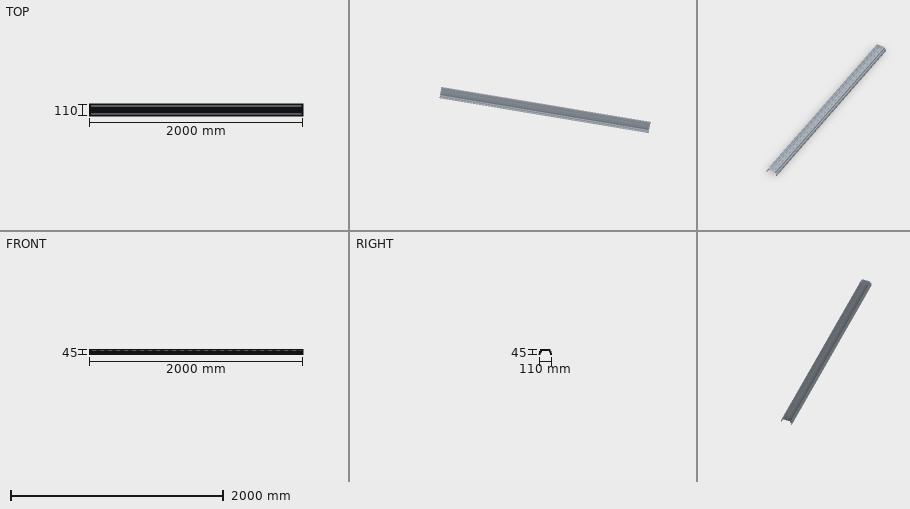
import cadquery as cq
import math

LENGTH = 2000.0
WIDTH = 110.0
HEIGHT = 45.0
SHEET = 1.5

CROWN_HALF_WIDTH = 40.8
UPPER_WALL_TILT = math.radians(3.5)
LOWER_WALL_TILT = math.radians(6.2)
SHOULDER_DROP = 18.2
BEND_RADIUS = 1.8

RECESS_DEPTH = 2.5
CENTRE_RECESS_WIDTH = 14.8
SIDE_RECESS_WIDTH = 5.2
SIDE_RECESS_CENTRE = 22.8

FOOT_HEIGHT = 15.5
FOOT_THICKNESS = 5.0
FOOT_CHAMFER = 2.0
GROOVE_TOP = 13.5
GROOVE_FLOOR_TOP = 12.2
GROOVE_FLOOR_BOTTOM = 8.0
GROOVE_BOTTOM = 7.0
GROOVE_DEPTH = 2.0

TOP = HEIGHT / 2
BOTTOM = -HEIGHT / 2
SHOULDER = TOP - SHOULDER_DROP
PICK = 0.2


def extrude_along_x(outline):
    """Extrude a closed list of (y, z) points over the full length, centred on X."""
    return cq.Workplane("YZ").polyline(outline).close().extrude(LENGTH / 2, both=True)


def upper_wall_y(z):
    return CROWN_HALF_WIDTH + (TOP - z) * math.tan(UPPER_WALL_TILT)


def lower_wall_y(z):
    return WIDTH / 2 - (z - BOTTOM) * math.tan(LOWER_WALL_TILT)


def mirrored(half):
    """Close a right-hand outline with its mirror image about the Y = 0 plane."""
    return half + [(-y, z) for y, z in reversed(half)]


def round_bends(bar, y, z, radius):
    """Round the lengthwise edges at (+y, z) and (-y, z)."""
    for edge_y in (-y, y):
        low = (-LENGTH, edge_y - PICK, z - PICK)
        high = (LENGTH, edge_y + PICK, z + PICK)
        bar = bar.edges(cq.selectors.BoxSelector(low, high)).fillet(radius)
    return bar


def hat_bar(half, crown_radius, valley_radius, shoulder_radius):
    """Solid bar from a half-outline that starts at the crown, with its three bends rounded."""
    bar = extrude_along_x(mirrored(half))
    radii = (crown_radius, valley_radius, shoulder_radius)
    for (y, z), radius in zip(half, radii):
        bar = round_bends(bar, y, z, radius)
    return bar


def solid_envelope():
    """Hat-shaped bar bounded by the outer side of the sheet."""
    half = [
        (CROWN_HALF_WIDTH, TOP),
        (upper_wall_y(SHOULDER), SHOULDER),
        (lower_wall_y(SHOULDER), SHOULDER),
        (lower_wall_y(BOTTOM), BOTTOM),
    ]
    return hat_bar(half, BEND_RADIUS, BEND_RADIUS, BEND_RADIUS)


def inner_void():
    """Space under the sheet: one wall thickness inside the envelope, narrower between the feet."""
    upper_gap = SHEET / math.cos(UPPER_WALL_TILT)
    lower_gap = SHEET / math.cos(LOWER_WALL_TILT)
    ceiling = TOP - SHEET
    ledge = SHOULDER - SHEET
    foot_top = BOTTOM + FOOT_HEIGHT
    foot_full = foot_top - FOOT_CHAMFER
    half = [
        (upper_wall_y(ceiling) - upper_gap, ceiling),
        (upper_wall_y(ledge) - upper_gap, ledge),
        (lower_wall_y(ledge) - lower_gap, ledge),
        (lower_wall_y(foot_top) - lower_gap, foot_top),
        (lower_wall_y(foot_full) - FOOT_THICKNESS, foot_full),
        (lower_wall_y(BOTTOM) - FOOT_THICKNESS, BOTTOM),
    ]
    tight = BEND_RADIUS - SHEET
    wide = BEND_RADIUS + SHEET
    return hat_bar(half, tight, wide, tight)


def crown_strip(centre, width, z_low, z_high):
    """Rectangular strip along the crown, used both to add and to remove material."""
    left, right = centre - width / 2, centre + width / 2
    return extrude_along_x([(left, z_low), (right, z_low), (right, z_high), (left, z_high)])


def press_recess(body, centre, width):
    """Sink a strip of the crown, keeping the sheet thickness below and beside it."""
    floor = TOP - RECESS_DEPTH
    backing = crown_strip(centre, width + 2 * SHEET, floor - SHEET, TOP - SHEET)
    hollow = crown_strip(centre, width, floor, TOP)
    return body.union(backing).cut(hollow)


def foot_groove(side):
    """Shallow groove in the outer face of the foot on the given side (+1 or -1 in Y)."""
    def wall_point(height, depth):
        z = BOTTOM + height
        return (side * (lower_wall_y(z) - depth), z)

    return extrude_along_x([
        wall_point(GROOVE_TOP, 0),
        wall_point(GROOVE_FLOOR_TOP, GROOVE_DEPTH),
        wall_point(GROOVE_FLOOR_BOTTOM, GROOVE_DEPTH),
        wall_point(GROOVE_BOTTOM, 0),
        (side * WIDTH, BOTTOM + GROOVE_FLOOR_TOP),
    ])


result = solid_envelope().cut(inner_void())

result = press_recess(result, 0, CENTRE_RECESS_WIDTH)
for side in (-1, 1):
    result = press_recess(result, side * SIDE_RECESS_CENTRE, SIDE_RECESS_WIDTH)
    result = result.cut(foot_groove(side))